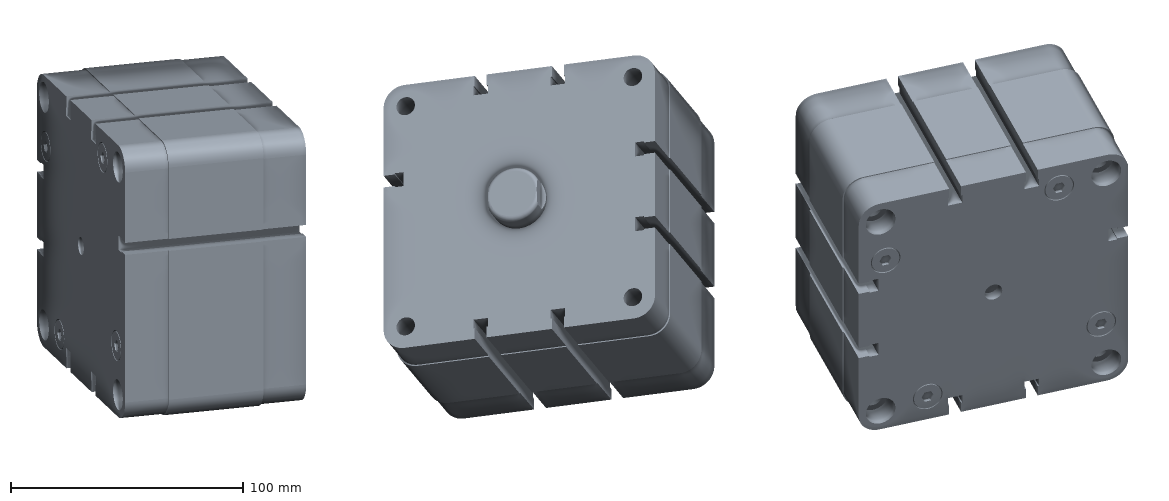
import cadquery as cq
import math


barrel_side = 124.0
cover_side = 123.0
corner_radius = 9.5
cover_length = 19.5
barrel_length = 43.0
body_length = barrel_length + 2 * cover_length

slot_offset = 17.5
slot_depth = 9.5
slot_neck_depth = 5.5
slot_neck_width = 5.4
slot_groove_width = 6.5
slots = [
    (0, -slot_offset),
    (0, slot_offset),
    (90, slot_offset),
    (90, -slot_offset),
    (180, -slot_offset),
    (180, slot_offset),
    (270, -slot_offset),
]

mount_spacing = 103.0
mount_hole_diameter = 8.38
mount_bore_diameter = 13.5
mount_bore_depth = 10.0

screw_position = (30.0, 49.2)
screw_head_diameter = 12.5
screw_recess_diameter = 13.5
screw_gap_depth = 1.0
hex_across_flats = 5.0
hex_depth = 1.5

center_hole_diameter = 8.0
center_hole_depth = 5.0

rod_diameter = 25.0
rod_projection = 9.5
rod_end_radius = 2.0
wrench_across_flats = 22.0
wrench_flat_length = 7.0


def on_front(y=0.0):
    """Workplane at the given Y, with local axes along X and Z; a negative extrusion goes to +Y."""
    return cq.Workplane(cq.Plane(origin=(0, y, 0), xDir=(1, 0, 0), normal=(0, -1, 0)))


def turned(solid, angle):
    """Turn a solid about the cylinder axis, from +Z towards -X for positive angles."""
    return solid.rotate((0, 0, 0), (0, -1, 0), angle)


def rounded_block(side, start, length):
    """Square block with rounded long edges, starting at Y = start."""
    return on_front(start).rect(side, side).extrude(-length).edges("|Y").fillet(corner_radius)


def housing():
    front_cover = rounded_block(cover_side, 0, cover_length)
    barrel = rounded_block(barrel_side, cover_length, barrel_length)
    rear_cover = rounded_block(cover_side, cover_length + barrel_length, cover_length)
    return front_cover.union(barrel).union(rear_cover)


def slot_cutter(angle, offset):
    """T-shaped slot running the full length of the housing."""
    top = barrel_side / 2
    groove_height = slot_depth - slot_neck_depth
    neck = on_front().center(offset, top - slot_depth / 2).rect(slot_neck_width, slot_depth)
    groove = on_front().center(offset, top - slot_depth + groove_height / 2)
    groove = groove.rect(slot_groove_width, groove_height)
    return turned(neck.extrude(-body_length).union(groove.extrude(-body_length)), angle)


def mount_hole_cutter():
    """Four through holes, counterbored from the front face."""
    through = on_front().rect(mount_spacing, mount_spacing, forConstruction=True).vertices()
    through = through.circle(mount_hole_diameter / 2).extrude(-body_length)
    bores = on_front().rect(mount_spacing, mount_spacing, forConstruction=True).vertices()
    bores = bores.circle(mount_bore_diameter / 2).extrude(-mount_bore_depth)
    return through.union(bores)


def screw_cutter(angle):
    """Gap around a flush screw head, and its hexagon socket."""
    x, z = screw_position
    turn = math.radians(angle)
    place = (x * math.cos(turn) - z * math.sin(turn), x * math.sin(turn) + z * math.cos(turn))
    gap = on_front().center(*place).circle(screw_recess_diameter / 2)
    gap = gap.circle(screw_head_diameter / 2).extrude(-screw_gap_depth)
    hex_corner_diameter = hex_across_flats / math.cos(math.pi / 6)
    socket = on_front().center(*place).polygon(6, hex_corner_diameter).extrude(-hex_depth)
    return gap.union(socket)


def center_hole_cutter():
    return on_front().circle(center_hole_diameter / 2).extrude(-center_hole_depth)


def wrench_flat_cutter():
    """Material beyond the +X wrench flat, ending in a 45 degree run-out."""
    tip = body_length + rod_projection
    flat_end = tip - wrench_flat_length
    flat = wrench_across_flats / 2
    outside = rod_diameter
    outline = [
        (flat, tip),
        (flat, flat_end),
        (outside, flat_end - (outside - flat)),
        (outside, tip),
    ]
    return cq.Workplane("XY").polyline(outline).close().extrude(rod_diameter / 2, both=True)


def piston_rod():
    rod = on_front(body_length).circle(rod_diameter / 2).extrude(-rod_projection)
    rod = rod.faces(">Y").edges().fillet(rod_end_radius)
    for angle in (0, 180):
        rod = rod.cut(turned(wrench_flat_cutter(), angle))
    return rod


result = housing()
for slot_angle, slot_position in slots:
    result = result.cut(slot_cutter(slot_angle, slot_position))
result = result.cut(mount_hole_cutter())
for screw_angle in (0, 90, 180, 270):
    result = result.cut(screw_cutter(screw_angle))
result = result.cut(center_hole_cutter())
result = result.union(piston_rod())